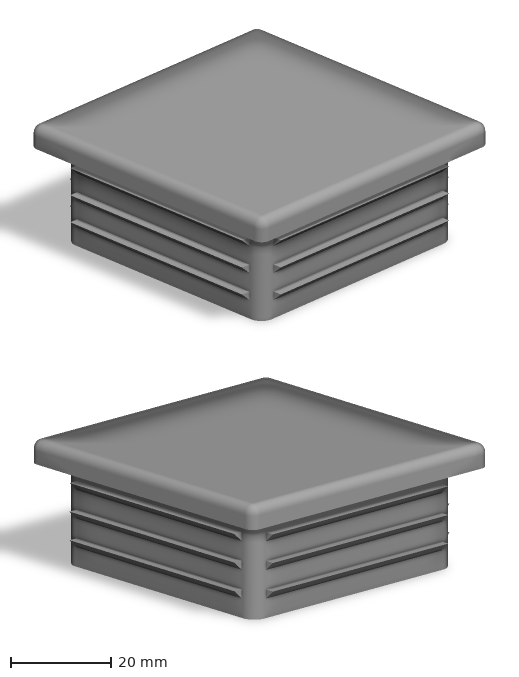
import cadquery as cq

cap_side = 65.0
total_height = 26.0
cap_thickness = 5.0
cap_rounding = 2.0

plug_side = 55.0
plug_corner_radius = 3.0
plug_height = total_height - cap_thickness

rib_length = 48.1
rib_reach = 2.0
rib_height = 1.9
rib_count = 3
rib_pitch = 6.0
lowest_rib_top = 6.0


def make_cap():
    """Square head with rounded upright corners and top edges."""
    return (
        cq.Workplane("XY")
        .workplane(offset=plug_height)
        .rect(cap_side, cap_side)
        .extrude(cap_thickness)
        .edges("|Z or >Z")
        .fillet(cap_rounding)
    )


def make_plug():
    """Square plug with rounded upright corners, its lower end at Z = 0."""
    return (
        cq.Workplane("XY")
        .rect(plug_side, plug_side)
        .extrude(plug_height)
        .edges("|Z")
        .fillet(plug_corner_radius)
    )


def make_rib(top):
    """Triangular rib on the +X face of the plug, centred along Y."""
    face = plug_side / 2
    root = face - plug_corner_radius
    return (
        cq.Workplane("XZ")
        .moveTo(root, top)
        .lineTo(face + rib_reach, top)
        .lineTo(face, top - rib_height)
        .lineTo(root, top - rib_height)
        .close()
        .extrude(rib_length / 2, both=True)
    )


result = make_cap().union(make_plug())
for level in range(rib_count):
    rib = make_rib(lowest_rib_top + level * rib_pitch)
    for angle in (0, 90, 180, 270):
        result = result.union(rib.rotate((0, 0, 0), (0, 0, 1), angle))